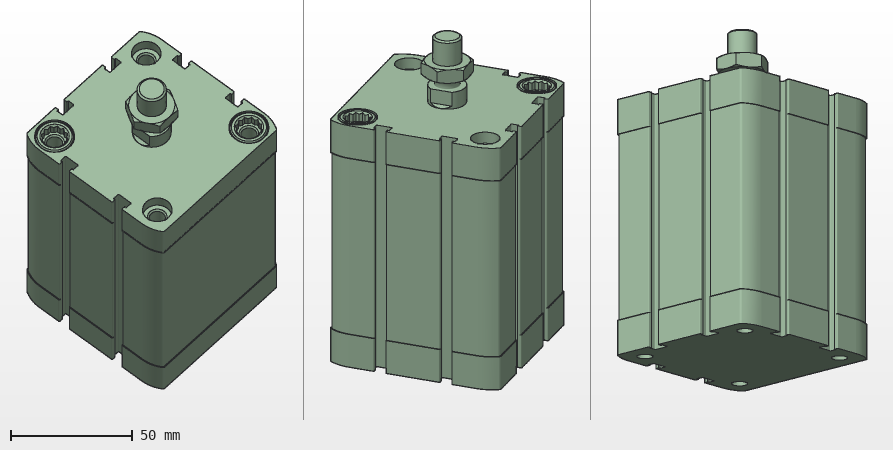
import cadquery as cq
import math

overall_height = 138.5
rod_projection = 29.5
housing_height = overall_height - rod_projection
half_width = 75.5 / 2
hole_offset = 28.3

cap_height = 14.8
tube_inset = 0.4
crown_radius = 17.0
cap_edge_radius = 1.1
tube_edge_radius = 1.2

slot_offset = 14.5
slot_mouth_width = 5.3
slot_inner_width = 6.9
slot_lip = 1.8
slot_depth = 4.8
slot_edge_radius = 0.35

through_diameter = 6.6
countersink_diameter = 8.0
recess_diameter = 12.0
recess_depth = 5.0

screw_pocket_diameter = 16.3
screw_head_diameter = 15.5
screw_gap_depth = 1.0
screw_chamfer = 0.5
socket_depth = 4.5
socket_corner_radius = 5.5
socket_mouth_diameter = recess_diameter

rod_diameter = 16.0
rod_seat_depth = cap_height
shoulder_height = 7.5
flats_width = 13.0
flats_base = 1.2
flats_runout_base = 0.1
neck_diameter = 10.7
neck_top = 8.6
neck_root_radius = 0.4
thread_diameter = 12.0
thread_start = 11.2
tip_diameter = 10.2
tip_chamfer_height = 0.7

nut_base = 12.3
nut_thickness = 6.1
nut_width = 19.0
nut_chamfer_angle = 25.0

half_hexagon_step = 30.0


def shell_block(inset, edge_radius, height):
    """Square block whose +Y and -Y sides curve away at the corners."""
    half = half_width - inset
    radius = crown_radius - inset

    def crown_y(x):
        return half - radius + math.sqrt(radius**2 - (x - hole_offset) ** 2)

    middle = (hole_offset + half) / 2
    return (
        cq.Workplane("XY")
        .moveTo(-hole_offset, half)
        .lineTo(hole_offset, half)
        .threePointArc((middle, crown_y(middle)), (half, crown_y(half)))
        .lineTo(half, -crown_y(half))
        .threePointArc((middle, -crown_y(middle)), (hole_offset, -half))
        .lineTo(-hole_offset, -half)
        .threePointArc((-middle, -crown_y(middle)), (-half, -crown_y(half)))
        .lineTo(-half, crown_y(half))
        .threePointArc((-middle, crown_y(middle)), (-hole_offset, half))
        .close()
        .extrude(height)
        .faces("<X or >X")
        .edges("|Z")
        .fillet(edge_radius)
    )


def t_slot(angle, offset, inset, base_z, height):
    """T-slot cutter in a -Y face set back by an inset, turned about the axis by an angle."""
    face = -half_width + inset
    floor = -half_width + slot_depth
    lip = -half_width + slot_lip
    half_mouth = slot_mouth_width / 2
    half_inner = slot_inner_width / 2
    flare = half_mouth + slot_edge_radius
    bend = slot_edge_radius * (1 - math.sqrt(0.5))
    cutter = (
        cq.Workplane("XY")
        .workplane(offset=base_z)
        .moveTo(-flare, face)
        .threePointArc((-half_mouth - bend, face + bend), (-half_mouth, face + slot_edge_radius))
        .lineTo(-half_mouth, lip)
        .lineTo(-half_inner, lip)
        .lineTo(-half_inner, floor - slot_edge_radius)
        .threePointArc((-half_inner + bend, floor - bend), (-half_inner + slot_edge_radius, floor))
        .lineTo(half_inner - slot_edge_radius, floor)
        .threePointArc((half_inner - bend, floor - bend), (half_inner, floor - slot_edge_radius))
        .lineTo(half_inner, lip)
        .lineTo(half_mouth, lip)
        .lineTo(half_mouth, face + slot_edge_radius)
        .threePointArc((half_mouth + bend, face + bend), (flare, face))
        .close()
        .extrude(height)
    )
    return cutter.translate((offset, 0, 0)).rotate((0, 0, 0), (0, 0, 1), angle)


def shell_section(inset, edge_radius, base_z, height):
    """One length of the shell with its pairs of T-slots on the -Y, +Y and -X sides."""
    section = shell_block(inset, edge_radius, height).translate((0, 0, base_z))
    for angle in (0, 180, -90):
        for side in (-1, 1):
            section = section.cut(t_slot(angle, side * slot_offset, inset, base_z, height))
    return section


def make_shell():
    upper_cap_base = housing_height - cap_height
    lower_cap = shell_section(0, cap_edge_radius, 0, cap_height)
    tube = shell_section(tube_inset, tube_edge_radius, cap_height, upper_cap_base - cap_height)
    upper_cap = shell_section(0, cap_edge_radius, upper_cap_base, cap_height)
    return lower_cap.union(tube).union(upper_cap)


def cylinder_below_top(diameter, depth):
    return cq.Workplane("XY").workplane(offset=housing_height - depth).circle(diameter / 2).extrude(depth)


def cone_down(top_z, top_diameter, bottom_diameter):
    """45-degree cone frustum narrowing downward from the given height."""
    depth = (top_diameter - bottom_diameter) / 2
    return cq.Workplane("XY").add(
        cq.Solid.makeCone(bottom_diameter / 2, top_diameter / 2, depth, cq.Vector(0, 0, top_z - depth))
    )


def through_hole(countersink_depth):
    """Hole through the whole housing, countersunk at the given depth below the top."""
    bore = cylinder_below_top(through_diameter, housing_height)
    return bore.union(cone_down(housing_height - countersink_depth, countersink_diameter, through_diameter))


def plain_corner():
    return through_hole(recess_depth).union(cylinder_below_top(recess_diameter, recess_depth))


def screw_corner():
    """Twelve-point socket inside a chamfered screw head with an annular gap around it."""
    gap = cylinder_below_top(screw_pocket_diameter, screw_gap_depth).cut(
        cylinder_below_top(screw_head_diameter, screw_gap_depth).faces(">Z").chamfer(screw_chamfer)
    )
    hexagon = (
        cq.Workplane("XY")
        .workplane(offset=housing_height - socket_depth)
        .polygon(6, 2 * socket_corner_radius)
        .extrude(socket_depth)
    )
    socket = hexagon.union(hexagon.rotate((0, 0, 0), (0, 0, 1), half_hexagon_step))
    flat_radius = socket_corner_radius * math.cos(math.radians(half_hexagon_step))
    valley_radius = flat_radius / math.cos(math.radians(half_hexagon_step / 2))
    mouth = cone_down(housing_height, socket_mouth_diameter, 2 * valley_radius)
    return through_hole(socket_depth).union(socket).union(mouth).union(gap)


def make_housing():
    body = make_shell()
    for side in (-1, 1):
        body = body.cut(plain_corner().translate((side * hole_offset, -side * hole_offset, 0)))
        body = body.cut(screw_corner().translate((side * hole_offset, side * hole_offset, 0)))
    return body.cut(cylinder_below_top(rod_diameter, rod_seat_depth))


def flat_cutter():
    """Wrench flat on the -Y side of the rod with a sloping run-out at its foot."""
    return (
        cq.Workplane("YZ")
        .moveTo(-rod_diameter / 2, flats_runout_base)
        .lineTo(-flats_width / 2, flats_base)
        .lineTo(-flats_width / 2, shoulder_height)
        .lineTo(-rod_diameter / 2, shoulder_height)
        .close()
        .extrude(rod_diameter / 2, both=True)
    )


def make_rod():
    neck_radius = neck_diameter / 2
    root_bend = neck_root_radius * (1 - math.sqrt(0.5))

    undercut_height = thread_start - neck_top
    undercut_step = (thread_diameter - neck_diameter) / 2
    undercut_radius = (undercut_height**2 + undercut_step**2) / (2 * undercut_step)
    undercut_middle = undercut_height / 2
    undercut_bend = undercut_radius - math.sqrt(undercut_radius**2 - undercut_middle**2)

    rod = (
        cq.Workplane("XZ")
        .moveTo(0, -rod_seat_depth)
        .lineTo(rod_diameter / 2, -rod_seat_depth)
        .lineTo(rod_diameter / 2, shoulder_height)
        .lineTo(neck_radius + neck_root_radius, shoulder_height)
        .threePointArc(
            (neck_radius + root_bend, shoulder_height + root_bend),
            (neck_radius, shoulder_height + neck_root_radius),
        )
        .lineTo(neck_radius, neck_top)
        .threePointArc(
            (neck_radius + undercut_bend, neck_top + undercut_middle),
            (thread_diameter / 2, thread_start),
        )
        .lineTo(thread_diameter / 2, rod_projection - tip_chamfer_height)
        .lineTo(tip_diameter / 2, rod_projection)
        .lineTo(0, rod_projection)
        .close()
        .revolve(360, (0, 0, 0), (0, 1, 0))
    )
    cutter = flat_cutter()
    rod = rod.cut(cutter).cut(cutter.mirror("XZ"))
    return rod.translate((0, 0, housing_height))


def make_nut():
    corner_radius = nut_width / 2 / math.cos(math.radians(half_hexagon_step))
    chamfer_drop = (corner_radius - nut_width / 2) * math.tan(math.radians(nut_chamfer_angle))
    prism = (
        cq.Workplane("XY")
        .polygon(6, 2 * corner_radius)
        .extrude(nut_thickness)
        .rotate((0, 0, 0), (0, 0, 1), half_hexagon_step)
    )
    envelope = (
        cq.Workplane("XZ")
        .moveTo(0, 0)
        .lineTo(nut_width / 2, 0)
        .lineTo(corner_radius, chamfer_drop)
        .lineTo(corner_radius, nut_thickness - chamfer_drop)
        .lineTo(nut_width / 2, nut_thickness)
        .lineTo(0, nut_thickness)
        .close()
        .revolve(360, (0, 0, 0), (0, 1, 0))
    )
    bore = cq.Workplane("XY").circle(thread_diameter / 2).extrude(nut_thickness)
    return prism.intersect(envelope).cut(bore).translate((0, 0, housing_height + nut_base))


housing = make_housing()
rod = make_rod()
nut = make_nut()

result = cq.Compound.makeCompound([*housing.solids().vals(), *rod.solids().vals(), *nut.solids().vals()])